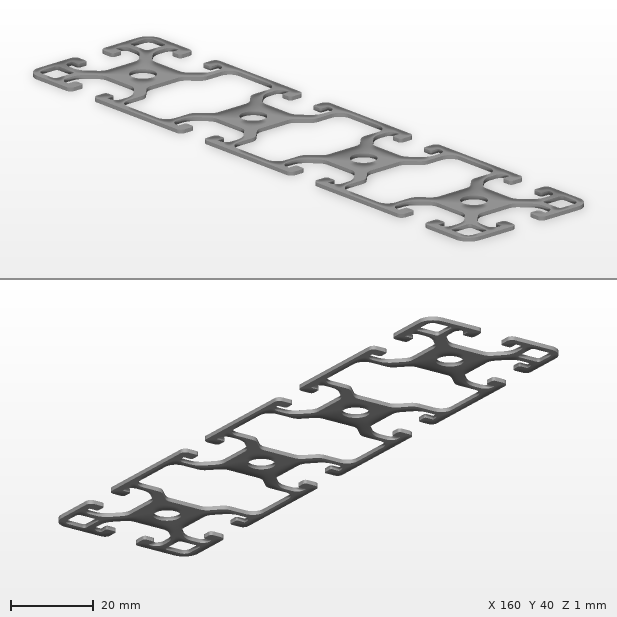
import cadquery as cq

cell_count = 4
cell_size = 40.0
thickness = 1.0
half_cell = cell_size / 2
length = cell_count * cell_size
outer_corner_radius = 4.0
bore_diameter = 6.7
chamber_wall = 2.0

lip_wall = 2.0
mouth_half_width = 4.0
lip_depth = 4.5
lip_width = 3.0
slot_half_width = 10.0
slot_floor = 7.8
slot_rib_offset = 2.2
slot_corner_radius = 2.0
slot_elbow_radius = 4.8
slot_floor_radius = 3.2
mouth_edge_radius = 1.5
lip_tip_radius = 0.8
lip_back_radius = 0.5

chamber_side = 11.5
core_half_width = 7.7
chamber_rib_offset = 2.0
chamber_corner_radius = 3.0
chamber_bend_radius = 2.9

corner_chamber_size = 6.4
corner_chamber_outer_radius = 1.8
corner_chamber_inner_radius = 0.8

pick_margin = 0.08

cell_centres = [(i + 0.5) * cell_size - length / 2 for i in range(cell_count)]


def round_edges(body, points, radius):
    """Fillet the upright edges at the given (x, y) points and at their mirror points (-x, y)."""
    for x, y in points:
        for edge_x in (-x, x):
            low = (edge_x - pick_margin, y - pick_margin, -pick_margin)
            high = (edge_x + pick_margin, y + pick_margin, thickness + pick_margin)
            corner = cq.selectors.BoxSelector(low, high)
            body = body.edges("|Z").edges(corner).fillet(radius)
    return body


def make_slot():
    """T-slot void opening toward +Y, with the cell centre at the origin."""
    ceiling = half_cell - lip_wall
    lip_tip = half_cell - lip_depth
    lip_back = mouth_half_width + lip_width
    elbow = (slot_half_width, slot_half_width + slot_rib_offset)
    floor_end = (slot_floor - slot_rib_offset, slot_floor)
    half = [
        floor_end,
        elbow,
        (slot_half_width, ceiling),
        (lip_back, ceiling),
        (lip_back, lip_tip),
        (mouth_half_width, lip_tip),
        (mouth_half_width, half_cell),
    ]
    mirrored = [(-x, y) for x, y in reversed(half)]
    slot = cq.Workplane("XY").polyline(half + mirrored).close().extrude(thickness)
    slot = round_edges(slot, [floor_end], slot_floor_radius)
    slot = round_edges(slot, [elbow], slot_elbow_radius)
    slot = round_edges(slot, [(slot_half_width, ceiling)], slot_corner_radius)
    slot = round_edges(slot, [(lip_back, lip_tip)], lip_back_radius)
    return round_edges(slot, [(mouth_half_width, lip_tip)], lip_tip_radius)


def make_chamber():
    """Hollow chamber centred on the joint between two cells."""
    side = half_cell - chamber_side
    waist = half_cell - core_half_width
    top = half_cell - chamber_wall
    bend_out = (side, chamber_side - chamber_rib_offset)
    bend_in = (waist, core_half_width - chamber_rib_offset)
    right = [(side, top), bend_out, bend_in]
    right += [(x, -y) for x, y in reversed(right)]
    left = [(-x, -y) for x, y in right]
    chamber = cq.Workplane("XY").polyline(right + left).close().extrude(thickness)
    for sign in (-1, 1):
        bends = [(x, sign * y) for x, y in (bend_out, bend_in)]
        chamber = round_edges(chamber, bends, chamber_bend_radius)
        chamber = round_edges(chamber, [(side, sign * top)], chamber_corner_radius)
    return chamber


def make_corner_chamber():
    """Small square chamber in the +X +Y corner of the profile."""
    centre = half_cell - chamber_wall - corner_chamber_size / 2
    return (
        cq.Workplane("XY")
        .rect(corner_chamber_size, corner_chamber_size)
        .extrude(thickness)
        .edges("|Z and (<X or <Y)").fillet(corner_chamber_inner_radius)
        .edges("|Z and >(1,1,0)").fillet(corner_chamber_outer_radius)
        .translate((cell_centres[-1] + centre, centre, 0))
    )


profile = (
    cq.Workplane("XY")
    .rect(length, cell_size)
    .extrude(thickness)
    .edges("|Z").fillet(outer_corner_radius)
)

bores = cq.Workplane("XY").pushPoints([(x, 0) for x in cell_centres]).circle(bore_diameter / 2)
profile = profile.cut(bores.extrude(thickness))

slot = make_slot()
for x in cell_centres:
    profile = profile.cut(slot.translate((x, 0, 0)))
    profile = profile.cut(slot.mirror("XZ").translate((x, 0, 0)))

turn_axis = ((0, 0, 0), (0, 0, 1))
profile = profile.cut(slot.rotate(*turn_axis, 90).translate((cell_centres[0], 0, 0)))
profile = profile.cut(slot.rotate(*turn_axis, -90).translate((cell_centres[-1], 0, 0)))

chamber = make_chamber()
for x in cell_centres[:-1]:
    profile = profile.cut(chamber.translate((x + half_cell, 0, 0)))

corner_chamber = make_corner_chamber()
corner_pair = corner_chamber.union(corner_chamber.mirror("XZ"))
profile = profile.cut(corner_pair).cut(corner_pair.mirror("YZ"))


mouth_edges = [(length / 2, side * mouth_half_width) for side in (-1, 1)]
for x in cell_centres[cell_count // 2:]:
    for offset in (-mouth_half_width, mouth_half_width):
        mouth_edges += [(x + offset, -half_cell), (x + offset, half_cell)]

result = round_edges(profile, mouth_edges, mouth_edge_radius)